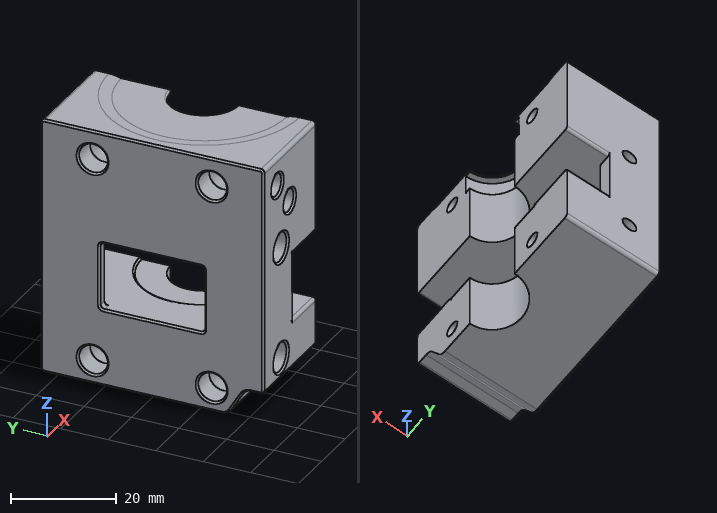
import cadquery as cq

DEPTH_X = 22.2
WIDTH_Y = 47.0
HEIGHT_Z = 54.0
MID_Y = WIDTH_Y / 2
EDGE_RADIUS = 0.8
EDGE_CHAMFER = 0.4
PICK_MARGIN = 0.55

STEP_HEIGHT = 6.0
STEP_WIDTH = 3.95
STEP_SLOPE_RUN = 3.65
STEP_RADIUS = 2.0

SLOT_BOTTOM_Z = 16.3
SLOT_HEIGHT = 14.1
SLOT_MID_Z = SLOT_BOTTOM_Z + SLOT_HEIGHT / 2
SLOT_START_X = 12.15
SLOT_EDGE_RADIUS = 0.65
PLATE_WALL = 2.0
CAVITY_WIDTH = 40.95
WINDOW_WIDTH = 22.05
WINDOW_CORNER_RADIUS = 0.8

BORE_RADIUS = 7.0
BORE_RIM_RADIUS = 0.4
GROOVE_RADIUS = 8.3
GROOVE_BOTTOM_Z = 47.0
GROOVE_TOP_Z = 52.75
SLOT_DISH_RADIUS = 13.45
SLOT_DISH_DEPTH = 0.4
DISH_OUTER_RADIUS = 20.05
DISH_FLOOR_RADIUS = 17.45
DISH_DEPTH = 0.45

SCREW_DIAMETER = 3.3
HEAD_DIAMETER = 6.0
HEAD_DEPTH = 5.0
HEAD_CONE_DEPTH = (HEAD_DIAMETER - SCREW_DIAMETER) / 2
PLATE_SCREW_SPACING_Y = 25.05
PLATE_SCREW_Z = (4.95, 48.0)
SIDE_SCREW_X = 7.45
SIDE_SCREW_Z = (10.4, 33.95)

POCKET_DIAMETER = 4.7
POCKET_DEPTH = 4.7
POCKET_CENTERS_XZ = ((5.9, 48.0), (11.1, 42.25))


def make_block():
    """Stepped outline extruded along X, long edges rounded, -X outline chamfered."""
    slope_end_y = STEP_WIDTH + STEP_SLOPE_RUN
    block = (
        cq.Workplane("YZ")
        .moveTo(0, STEP_HEIGHT)
        .lineTo(STEP_WIDTH, STEP_HEIGHT)
        .lineTo(slope_end_y, 0)
        .lineTo(WIDTH_Y, 0)
        .lineTo(WIDTH_Y, HEIGHT_Z)
        .lineTo(0, HEIGHT_Z)
        .close()
        .extrude(DEPTH_X)
    )
    step_edges = cq.selectors.BoxSelector(
        (0, STEP_WIDTH - PICK_MARGIN, -PICK_MARGIN),
        (DEPTH_X, slope_end_y + PICK_MARGIN, STEP_HEIGHT + PICK_MARGIN),
    )
    block = block.edges("|X").edges(step_edges).fillet(STEP_RADIUS)
    outer_corners = "(<Y and |X) or (>Y and |X)"
    block = block.edges(outer_corners).fillet(EDGE_RADIUS)
    return block.faces("<X").edges().chamfer(EDGE_CHAMFER)


def box_between_x(start_x, end_x, width_y):
    """Slot-height box centred in Y between two X positions."""
    return (
        cq.Workplane("YZ", origin=(start_x, MID_Y, SLOT_MID_Z))
        .rect(width_y, SLOT_HEIGHT)
        .extrude(end_x - start_x)
    )


def cut_slot(body):
    """Slot open to +X and both sides, with rounded mouths on the side faces."""
    body = body.cut(box_between_x(SLOT_START_X, DEPTH_X, WIDTH_Y))
    mouth_edges = cq.selectors.BoxSelector(
        (SLOT_START_X, -PICK_MARGIN, SLOT_BOTTOM_Z - PICK_MARGIN),
        (DEPTH_X, WIDTH_Y + PICK_MARGIN, SLOT_BOTTOM_Z + SLOT_HEIGHT + PICK_MARGIN),
    )
    body = body.edges("|X").edges(mouth_edges).fillet(SLOT_EDGE_RADIUS)
    return body.cut(box_between_x(PLATE_WALL, SLOT_START_X, CAVITY_WIDTH))


def cut_window(body):
    """Rounded window through the plate wall, chamfered at the outside."""
    body = body.cut(
        box_between_x(0, PLATE_WALL, WINDOW_WIDTH).edges("|X").fillet(WINDOW_CORNER_RADIUS)
    )
    reach_y = WINDOW_WIDTH / 2 + PICK_MARGIN
    reach_z = SLOT_HEIGHT / 2 + PICK_MARGIN
    rim = cq.selectors.BoxSelector(
        (-PICK_MARGIN, MID_Y - reach_y, SLOT_MID_Z - reach_z),
        (PICK_MARGIN, MID_Y + reach_y, SLOT_MID_Z + reach_z),
    )
    return body.faces("<X").edges(rim).chamfer(EDGE_CHAMFER)


def revolved_tool(profile):
    """Solid of revolution about Z from (radius, height) points."""
    return cq.Workplane("XZ").polyline(profile).close().revolve(360, (0, 0), (0, 1))


def screw_tool(length, cone_depth):
    """Screw hole along +Z with a chamfered head bore; a cone may join head and shank."""
    head_radius = HEAD_DIAMETER / 2
    shank_radius = SCREW_DIAMETER / 2
    return revolved_tool([
        (0, 0),
        (head_radius + EDGE_CHAMFER, 0),
        (head_radius, EDGE_CHAMFER),
        (head_radius, HEAD_DEPTH),
        (shank_radius, HEAD_DEPTH + cone_depth),
        (shank_radius, length),
        (0, length),
    ])


def pocket_tool():
    """Blind pocket along +Z with a chamfered mouth."""
    radius = POCKET_DIAMETER / 2
    return revolved_tool([
        (0, 0),
        (radius + EDGE_CHAMFER, 0),
        (radius, EDGE_CHAMFER),
        (radius, POCKET_DEPTH),
        (0, POCKET_DEPTH),
    ])


def cut_holes(body):
    """Screw holes along X and Y, and blind pockets along Y."""
    plate_screw = screw_tool(DEPTH_X, HEAD_CONE_DEPTH).rotate((0, 0, 0), (0, 1, 0), 90)
    for side in (-1, 1):
        y = MID_Y + side * PLATE_SCREW_SPACING_Y / 2
        for z in PLATE_SCREW_Z:
            body = body.cut(plate_screw.translate((0, y, z)))

    side_screw = screw_tool(WIDTH_Y, 0).rotate((0, 0, 0), (1, 0, 0), -90)
    for z in SIDE_SCREW_Z:
        body = body.cut(side_screw.translate((SIDE_SCREW_X, 0, z)))

    pocket = pocket_tool().rotate((0, 0, 0), (1, 0, 0), -90)
    for x, z in POCKET_CENTERS_XZ:
        body = body.cut(pocket.translate((x, 0, z)))
    return body


def cut_bore_and_dishes(body):
    """Grooved bore with a rounded upper rim, and the dishes in the top and the slot floor."""
    dish_floor_z = HEIGHT_Z - DISH_DEPTH
    dish_rim_width = DISH_OUTER_RADIUS - DISH_FLOOR_RADIUS
    dish_rim_radius = (dish_rim_width**2 + DISH_DEPTH**2) / (2 * DISH_DEPTH)
    slot_dish_floor_z = SLOT_BOTTOM_Z - SLOT_DISH_DEPTH
    bore = (
        cq.Workplane("XZ")
        .moveTo(0, 0)
        .lineTo(BORE_RADIUS, 0)
        .lineTo(BORE_RADIUS, slot_dish_floor_z)
        .lineTo(SLOT_DISH_RADIUS - SLOT_DISH_DEPTH, slot_dish_floor_z)
        .lineTo(SLOT_DISH_RADIUS, SLOT_BOTTOM_Z)
        .lineTo(BORE_RADIUS, SLOT_BOTTOM_Z)
        .lineTo(BORE_RADIUS, GROOVE_BOTTOM_Z)
        .lineTo(GROOVE_RADIUS, GROOVE_BOTTOM_Z)
        .lineTo(GROOVE_RADIUS, GROOVE_TOP_Z)
        .lineTo(BORE_RADIUS, GROOVE_TOP_Z)
        .lineTo(BORE_RADIUS, dish_floor_z - BORE_RIM_RADIUS)
        .radiusArc((BORE_RADIUS + BORE_RIM_RADIUS, dish_floor_z), BORE_RIM_RADIUS)
        .lineTo(DISH_FLOOR_RADIUS, dish_floor_z)
        .radiusArc((DISH_OUTER_RADIUS, HEIGHT_Z), dish_rim_radius)
        .lineTo(0, HEIGHT_Z)
        .close()
        .revolve(360, (0, 0), (0, 1))
    )
    return body.cut(bore.translate((DEPTH_X, MID_Y, 0)))


result = cut_bore_and_dishes(cut_holes(cut_window(cut_slot(make_block()))))